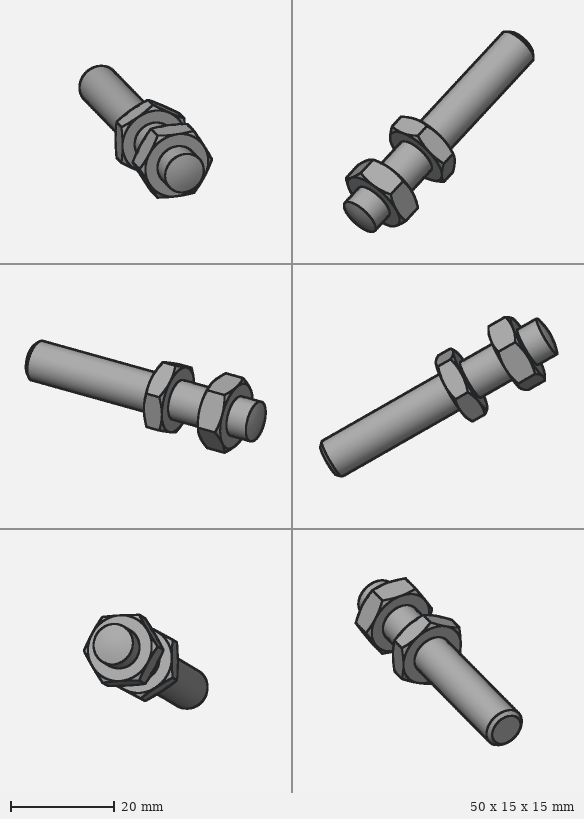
import cadquery as cq
import math

length = 49.95
stud_radius = 4.0
end_chamfer = 0.8
dome_radius = 12.0

across_flats = 13.0
lock_nut_start = 28.05
lock_nut_thickness = 4.0
head_nut_start = 40.0
head_nut_thickness = 5.0
nut_chamfer_angle = 30.0


def make_stud():
    """Round stud with a chamfered start and a domed far end."""
    dome_height = dome_radius - math.sqrt(dome_radius**2 - stud_radius**2)
    dome_center_x = length - dome_radius
    mid_angle = math.asin(stud_radius / dome_radius) / 2
    dome_middle = (
        dome_center_x + dome_radius * math.cos(mid_angle),
        dome_radius * math.sin(mid_angle),
    )
    return (
        cq.Workplane("XY")
        .lineTo(0, stud_radius - end_chamfer)
        .lineTo(end_chamfer, stud_radius)
        .lineTo(length - dome_height, stud_radius)
        .threePointArc(dome_middle, (length, 0))
        .close()
        .revolve(360, (0, 0, 0), (1, 0, 0))
    )


def make_nut(start, thickness, turn):
    """Hexagon nut with conical corner chamfers on both faces, turned about X by degrees."""
    corner_radius = across_flats / math.sqrt(3)
    face_radius = across_flats / 2
    chamfer_depth = (corner_radius - face_radius) * math.tan(math.radians(nut_chamfer_angle))
    end = start + thickness
    hexagon = (
        cq.Workplane("YZ", origin=(start, 0, 0))
        .polygon(6, 2 * corner_radius)
        .extrude(thickness)
        .rotate((0, 0, 0), (1, 0, 0), turn)
    )
    chamfer_envelope = (
        cq.Workplane("XY")
        .moveTo(start, 0)
        .lineTo(start, face_radius)
        .lineTo(start + chamfer_depth, corner_radius)
        .lineTo(end - chamfer_depth, corner_radius)
        .lineTo(end, face_radius)
        .lineTo(end, 0)
        .close()
        .revolve(360, (0, 0, 0), (1, 0, 0))
    )
    return hexagon.intersect(chamfer_envelope)


lock_nut = make_nut(lock_nut_start, lock_nut_thickness, 90)
head_nut = make_nut(head_nut_start, head_nut_thickness, 0)

result = make_stud().union(lock_nut).union(head_nut)